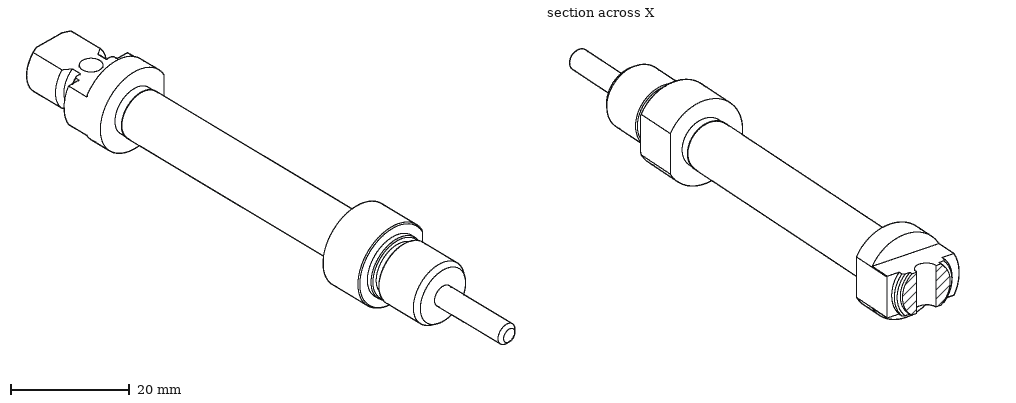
import cadquery as cq

HOLE_X = 10.1
TONGUE_SHOULDER = 16.1
REAR_CAP_END = 20.5
FRONT_CAP_START = 74.3
FRONT_CAP_END = 82.9
NOSE_START = 85.5
NOSE_END = 95.0
ROD_END = 111.0

CAP_RADIUS = 8.0
CAP_FLAT_Y = 7.0
COLLAR_LENGTH = 1.1
COLLAR_CHAMFER = 0.3
EDGE_BREAK = 0.2
NECK_RADIUS = 5.0
SPIGOT_LENGTH = 1.7
SPIGOT_RADIUS = 4.5
SPAN = 2 * CAP_RADIUS

TONGUE_THICKNESS = 8.0
TONGUE_RADIUS = 6.0
TONGUE_TIP_LENGTH = 0.7
TONGUE_TIP_DROP = 1.0
HOLE_DIAMETER = 4.0
FLANGE_START = 11.8
NECK_START = 8.7

NOSE_RADIUS = TONGUE_RADIUS
NOSE_TIP_LENGTH = 1.0
NOSE_TIP_DROP = 0.7

BARREL_RADIUS = 4.7
ROD_RADIUS = 2.0
ROD_CHAMFER = 0.7


def turned(profile):
    """Revolve (x, radius) points around X, closing the profile along the axis."""
    first_x = profile[0][0]
    last_x = profile[-1][0]
    points = [(first_x, 0), *profile, (last_x, 0)]
    return cq.Workplane("XY").polyline(points).close().revolve(360, (0, 0, 0), (1, 0, 0))


def cut_side_flat(cap):
    """Plane off the +Y side of a cap."""
    block = cq.Workplane("XY").box(2 * ROD_END, SPAN, 2 * SPAN, centered=(True, False, True))
    return cap.cut(block.translate((0, CAP_FLAT_Y, 0)))


def cut_tongue_faces(cap):
    """Mill the two parallel faces above and below the rear tongue."""
    for side in (-1, 1):
        block = cq.Workplane("XY").box(TONGUE_SHOULDER, 2 * SPAN, SPAN, centered=(False, True, True))
        cap = cap.cut(block.translate((0, 0, side * (TONGUE_THICKNESS + SPAN) / 2)))
    return cap


def make_rear_cap():
    collar_start = FLANGE_START - COLLAR_LENGTH
    relief = TONGUE_RADIUS - NECK_RADIUS
    cap = turned([
        (0, TONGUE_RADIUS - TONGUE_TIP_DROP),
        (TONGUE_TIP_LENGTH, TONGUE_RADIUS),
        (NECK_START - relief, TONGUE_RADIUS),
        (NECK_START, NECK_RADIUS),
        (collar_start, NECK_RADIUS),
        (collar_start, TONGUE_RADIUS - COLLAR_CHAMFER),
        (collar_start + COLLAR_CHAMFER, TONGUE_RADIUS),
        (FLANGE_START, TONGUE_RADIUS),
        (FLANGE_START, CAP_RADIUS),
        (REAR_CAP_END, CAP_RADIUS),
        (REAR_CAP_END, SPIGOT_RADIUS),
        (REAR_CAP_END + SPIGOT_LENGTH, SPIGOT_RADIUS),
    ])
    cap = cut_tongue_faces(cut_side_flat(cap))
    pivot_hole = cq.Workplane("XY").center(HOLE_X, 0).circle(HOLE_DIAMETER / 2)
    return cap.cut(pivot_hole.extrude(SPAN, both=True))


def make_barrel():
    return turned([
        (REAR_CAP_END + SPIGOT_LENGTH, BARREL_RADIUS),
        (FRONT_CAP_START - SPIGOT_LENGTH, BARREL_RADIUS),
    ])


def make_front_cap():
    collar_end = FRONT_CAP_END + COLLAR_LENGTH
    cap = turned([
        (FRONT_CAP_START - SPIGOT_LENGTH, SPIGOT_RADIUS),
        (FRONT_CAP_START, SPIGOT_RADIUS),
        (FRONT_CAP_START, CAP_RADIUS),
        (FRONT_CAP_END - EDGE_BREAK, CAP_RADIUS),
        (FRONT_CAP_END, CAP_RADIUS - EDGE_BREAK),
        (FRONT_CAP_END, NOSE_RADIUS),
        (collar_end - EDGE_BREAK, NOSE_RADIUS),
        (collar_end, NOSE_RADIUS - EDGE_BREAK),
        (collar_end, NECK_RADIUS),
        (NOSE_START, NECK_RADIUS),
        (NOSE_START, NOSE_RADIUS - EDGE_BREAK),
        (NOSE_START + EDGE_BREAK, NOSE_RADIUS),
        (NOSE_END - NOSE_TIP_LENGTH, NOSE_RADIUS),
        (NOSE_END, NOSE_RADIUS - NOSE_TIP_DROP),
    ])
    return cut_side_flat(cap)


def make_piston_rod():
    return turned([
        (NOSE_END, ROD_RADIUS),
        (ROD_END - ROD_CHAMFER, ROD_RADIUS),
        (ROD_END, ROD_RADIUS - ROD_CHAMFER),
    ])


rear_cap = make_rear_cap()
barrel = make_barrel()
front_cap = make_front_cap()
piston_rod = make_piston_rod()

result = cq.Compound.makeCompound([
    rear_cap.val(),
    barrel.val(),
    front_cap.val(),
    piston_rod.val(),
])